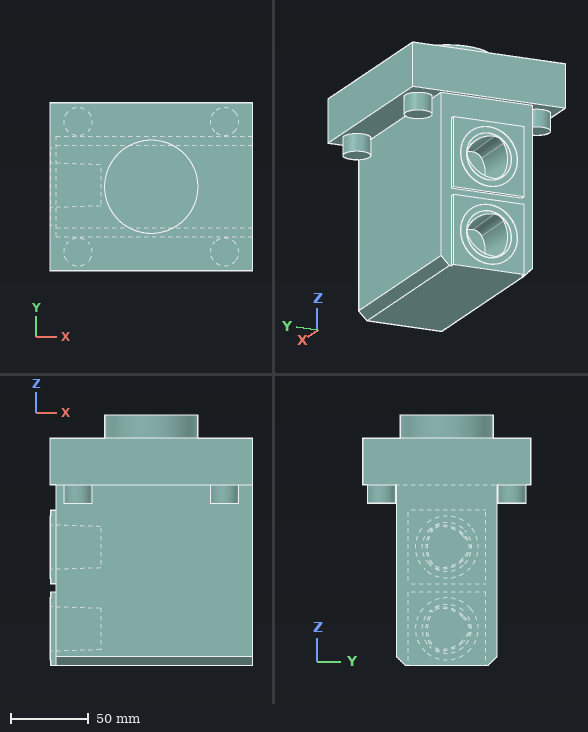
import cadquery as cq
import math

TOTAL_HEIGHT = 161.0
FLANGE_LENGTH = 130.0
FLANGE_WIDTH = 108.0
FLANGE_THICKNESS = 30.0
BOSS_DIAMETER = 59.9
BOSS_HEIGHT = 15.0
BODY_WIDTH = 64.7
BODY_CHAMFER = 6.0

SCREW_DIAMETER = 18.0
SCREW_HEIGHT = 11.9
SCREW_SPACING_X = 94.0
SCREW_SPACING_Y = 83.7

PLATE_WIDTH = 49.9
PLATE_HEIGHT = 47.3
PLATE_THICKNESS = 3.2
STATION_COUNT = 2
STATION_PITCH = 52.5
RING_DIAMETER = 40.1
RING_HEIGHT = 0.5
RECESS_DIAMETER = 31.5
RECESS_DEPTH = 0.5

LOBE_CENTER_RADIUS = 7.7
LOBE_RADIUS = 7.5
SOCKET_DEPTH = 32.2
SOCKET_END_SCALE = 0.93

flange_top = TOTAL_HEIGHT - BOSS_HEIGHT
flange_bottom = flange_top - FLANGE_THICKNESS
ring_face_x = -FLANGE_LENGTH / 2
plate_face_x = ring_face_x + RING_HEIGHT
body_left_x = plate_face_x + PLATE_THICKNESS
body_length = FLANGE_LENGTH / 2 - body_left_x
station_heights = [PLATE_HEIGHT / 2 + i * STATION_PITCH for i in range(STATION_COUNT)]


def make_body():
    body = cq.Workplane("XY").box(body_length, BODY_WIDTH, flange_bottom, centered=(False, True, False))
    body = body.translate((body_left_x, 0, 0))
    return body.faces("<Z").edges("|X").chamfer(BODY_CHAMFER)


def make_flange():
    flange = cq.Workplane("XY", origin=(0, 0, flange_bottom)).box(
        FLANGE_LENGTH, FLANGE_WIDTH, FLANGE_THICKNESS, centered=(True, True, False)
    )
    return flange.faces(">Z").workplane().circle(BOSS_DIAMETER / 2).extrude(BOSS_HEIGHT)


def make_screw_heads():
    return (
        cq.Workplane("XY", origin=(0, 0, flange_bottom))
        .rect(SCREW_SPACING_X, SCREW_SPACING_Y, forConstruction=True)
        .vertices()
        .circle(SCREW_DIAMETER / 2)
        .extrude(-SCREW_HEIGHT)
    )


def make_station(height):
    """Square plate carrying a thin raised ring."""
    plane = cq.Workplane("YZ", origin=(body_left_x, 0, height))
    plate = plane.rect(PLATE_WIDTH, PLATE_HEIGHT).extrude(-PLATE_THICKNESS)
    ring = plane.circle(RING_DIAMETER / 2).extrude(ring_face_x - body_left_x)
    return plate.union(ring)


def lobed_wire(x, height, scale):
    """Closed outline of the socket in the YZ plane, one lobe pointing to +Y."""
    center_radius = LOBE_CENTER_RADIUS * scale
    lobe_radius = LOBE_RADIUS * scale
    side_radius = lobe_radius + math.sqrt(3) * center_radius

    def point(center_angle, radius, angle):
        center = math.radians(center_angle)
        direction = math.radians(angle)
        y = center_radius * math.cos(center) + radius * math.cos(direction)
        z = center_radius * math.sin(center) + radius * math.sin(direction)
        return cq.Vector(x, y, height + z)

    edges = []
    for lobe in (0, 120, 240):
        lobe_end = point(lobe, lobe_radius, lobe + 30)
        lobe_start = point(lobe, lobe_radius, lobe - 30)
        next_lobe_start = point(lobe + 120, lobe_radius, lobe + 90)
        side_middle = point(lobe + 240, side_radius, lobe + 60)
        edges.append(cq.Edge.makeThreePointArc(lobe_start, point(lobe, lobe_radius, lobe), lobe_end))
        edges.append(cq.Edge.makeThreePointArc(lobe_end, side_middle, next_lobe_start))
    return cq.Wire.assembleEdges(edges)


def make_socket(height):
    """Shallow round recess followed by the tapered lobed socket."""
    recess_floor_x = ring_face_x + RECESS_DEPTH
    plane = cq.Workplane("YZ", origin=(ring_face_x, 0, height))
    recess = plane.circle(RECESS_DIAMETER / 2).extrude(RECESS_DEPTH)
    mouth = lobed_wire(recess_floor_x, height, 1.0)
    end = lobed_wire(recess_floor_x + SOCKET_DEPTH, height, SOCKET_END_SCALE)
    return recess.union(cq.Workplane(cq.Solid.makeLoft([mouth, end], True)))


result = make_body().union(make_flange()).union(make_screw_heads())
for station_height in station_heights:
    result = result.union(make_station(station_height)).cut(make_socket(station_height))